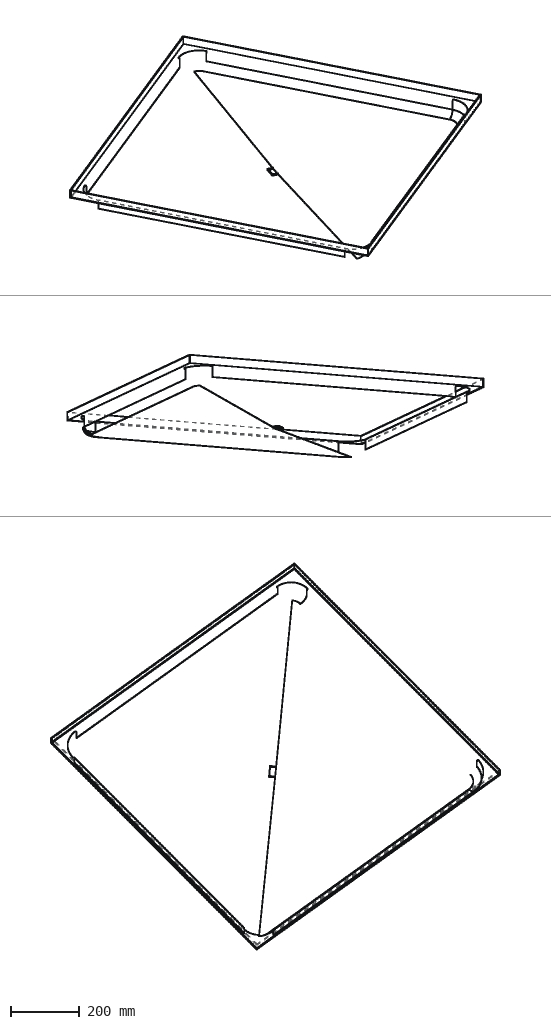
import cadquery as cq
import math


side = 930.0
total_depth = 99.5
sheet = 1.0

rim_height = 25.0
rim_thickness = 3.0
ledge_width = 20.0
corner_radius = 60.0

bend_radius = 5.0
wall_bottom = -57.0
cove_radius = 25.0

floor_edge = -77.0

drain_radius = 25.0
drain_height = 5.0

half = side / 2
wall_face = half - ledge_width
straight_half = wall_face - corner_radius
opening_half = wall_face - sheet + bend_radius
ledge_bottom = -rim_height
ledge_top = ledge_bottom + sheet
floor_half = wall_face - cove_radius
cove_top = floor_edge + cove_radius
floor_corner_radius = floor_half - straight_half
drain_side = drain_radius * math.sqrt(2)
tray_bottom = -total_depth
arc_45 = math.sqrt(0.5)


def triangle_prism(*corners):
    """Upright prism over a triangle, as tall as the tray."""
    return cq.Workplane("XY", origin=(0, 0, tray_bottom)).polyline(corners).close().extrude(total_depth)


def rounded_square(half_width, radius, bottom, height):
    """Upright prism with a rounded square outline."""
    block = cq.Workplane("XY").workplane(offset=bottom).rect(2 * half_width, 2 * half_width).extrude(height)
    return block.edges("|Z").fillet(radius)


def make_rim():
    """Upright outer band with a flat inward ledge at its foot."""
    band = cq.Workplane("XY").rect(side, side).extrude(-rim_height)
    recess_side = side - 2 * rim_thickness
    recess = cq.Workplane("XY").rect(recess_side, recess_side).extrude(ledge_top)
    opening = rounded_square(opening_half, opening_half - straight_half, ledge_bottom, rim_height)
    return band.cut(recess).cut(opening)


def make_wall(foot):
    """Straight wall on the +X side, joined to the ledge by a rounded bend and ending at height foot."""
    inner = wall_face - sheet
    bend_x = inner + bend_radius
    bend_z = ledge_top - bend_radius
    inside_radius = bend_radius - sheet
    section = (
        cq.Workplane("XZ", origin=(0, straight_half, 0))
        .moveTo(inner, foot)
        .lineTo(inner, bend_z)
        .threePointArc((bend_x - bend_radius * arc_45, bend_z + bend_radius * arc_45), (bend_x, ledge_top))
        .lineTo(bend_x, ledge_bottom)
        .threePointArc(
            (bend_x - inside_radius * arc_45, bend_z + inside_radius * arc_45),
            (wall_face, bend_z),
        )
        .lineTo(wall_face, foot)
        .close()
    )
    return section.extrude(2 * straight_half)


def cove_section(plane):
    """Quarter-round sheet from the wall foot in to the floor edge."""
    inside_radius = cove_radius - sheet
    return (
        plane.moveTo(wall_face, cove_top)
        .threePointArc(
            (floor_half + cove_radius * arc_45, cove_top - cove_radius * arc_45),
            (floor_half, floor_edge),
        )
        .lineTo(floor_half, floor_edge + sheet)
        .threePointArc(
            (floor_half + inside_radius * arc_45, cove_top - inside_radius * arc_45),
            (wall_face - sheet, cove_top),
        )
        .close()
    )


def make_side_cove():
    """Cove along the foot of the +X wall."""
    return cove_section(cq.Workplane("XZ", origin=(0, straight_half, 0))).extrude(2 * straight_half)


def make_corner_cove():
    """Cove turned through the +X +Y corner, trimmed level with the free wall ends."""
    plane = cq.Workplane("XZ", origin=(0, straight_half, 0))
    cove = cove_section(plane).revolve(90, (straight_half, 0), (straight_half, 1))
    above_lip = cq.Workplane("XY", origin=(0, 0, wall_bottom)).rect(side, side).extrude(-wall_bottom)
    return cove.cut(above_lip)


def make_floor_panel():
    """Triangular sheet falling from the +X floor edge to the centre point."""
    section = (
        cq.Workplane("XZ", origin=(0, half, 0))
        .moveTo(0, tray_bottom)
        .lineTo(floor_half, floor_edge)
        .lineTo(floor_half, floor_edge + sheet)
        .lineTo(0, tray_bottom + sheet)
        .close()
        .extrude(side)
    )
    quarter_plan = triangle_prism((0, 0), (half, -half), (half, half))
    outline = rounded_square(floor_half, floor_corner_radius, tray_bottom, total_depth)
    return section.intersect(quarter_plan).intersect(outline)


def make_floor():
    """Two sloping panels meeting on the diagonal, on the +X +Y half of the tray only."""
    panel = make_floor_panel()
    return panel.union(panel.rotate((0, 0, 0), (0, 0, 1), 90))


def make_drain():
    """Thin collar standing out from the diagonal edge of the floor at the centre."""
    collar = (
        cq.Workplane("XY", origin=(0, 0, tray_bottom))
        .transformed(rotate=(0, 0, 45))
        .rect(drain_side, drain_side)
        .rect(drain_side - 2 * sheet, drain_side - 2 * sheet)
        .extrude(drain_height)
    )
    return collar.intersect(triangle_prism((-half, half), (-half, -half), (half, -half)))


result = make_rim().union(make_wall(cove_top))
for angle in (90, 180, 270):
    result = result.union(make_wall(wall_bottom).rotate((0, 0, 0), (0, 0, 1), angle))
result = result.union(make_side_cove()).union(make_corner_cove())
result = result.union(make_floor()).union(make_drain())